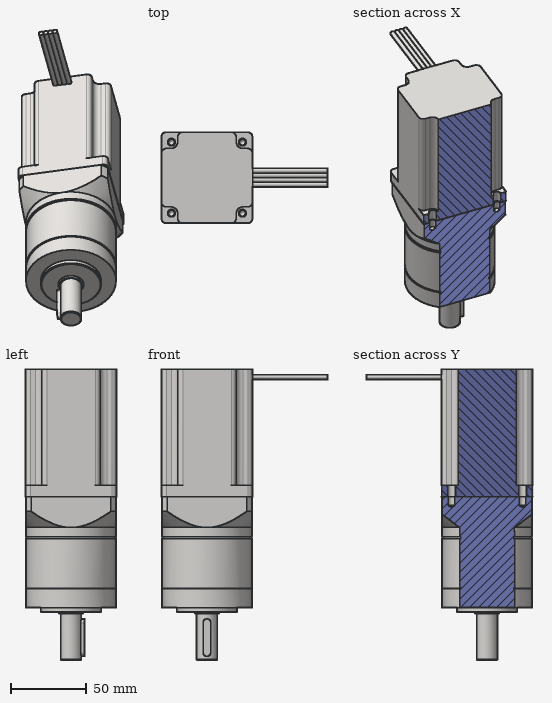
import cadquery as cq
import math


shaft_dia = 14.0
shaft_chamfer = 0.5
key_width = 5.0
key_length = 25.0
key_bottom = 2.5
key_reach = 9.0
key_height = 5.0

gear_width = 60.0
gear_bottom = 35.0
seal_bottom = 30.8
seal_dia = 17.0
seal_tip_dia = 15.0
pilot_bottom = 31.7
pilot_dia = 40.2
pilot_chamfer = 0.5
groove_depth = 0.4
lower_groove_bottom = 47.5
lower_groove_width = 0.5
upper_groove_bottom = 80.9
upper_groove_width = 1.2
head_cone_bottom = 88.2
head_cone_top = 98.9
head_corner_dia = 80.0

motor_width = 60.5
motor_bottom = 108.7
motor_top = 193.5
flange_thickness = 7.7
flange_corner_radius = 3.0
notch_size = 10.8
notch_inner_radius = 4.5
notch_outer_radius = 3.3

screw_pitch = 47.2
clearance_dia = 5.0
tapped_dia = 4.0
tapped_depth = 5.8
drill_point_angle = 118

lead_count = 4
lead_dia = 3.3
lead_pitch = 3.0
lead_length = 50.0
lead_axis_drop = 5.2

gear_radius = gear_width / 2
motor_half = motor_width / 2
flange_top = motor_bottom + flange_thickness
screw_offset = screw_pitch / 2
screw_places = [(sx * screw_offset, sy * screw_offset) for sx in (-1, 1) for sy in (-1, 1)]


def cylinder(diameter, bottom, top):
    return cq.Workplane("XY").workplane(offset=bottom).circle(diameter / 2).extrude(top - bottom)


def square_block(width, bottom, top):
    return cq.Workplane("XY").workplane(offset=bottom).rect(width, width).extrude(top - bottom)


def ring_groove(bottom, width):
    """Ring that cuts a shallow groove into the round housing."""
    outer = cylinder(gear_width + 2 * groove_depth, bottom, bottom + width)
    return outer.cut(cylinder(gear_width - 2 * groove_depth, bottom, bottom + width))


def make_head():
    """Square head with turned corners, tapering into the round housing."""
    corner_radius = head_corner_dia / 2
    turned = (
        cq.Workplane("XZ")
        .moveTo(0, head_cone_bottom)
        .lineTo(gear_radius, head_cone_bottom)
        .lineTo(corner_radius, head_cone_top)
        .lineTo(corner_radius, motor_bottom)
        .lineTo(0, motor_bottom)
        .close()
        .revolve(360, (0, 0, 0), (0, 1, 0))
    )
    return turned.intersect(square_block(gear_width, head_cone_bottom, motor_bottom))


def make_shaft():
    return cylinder(shaft_dia, 0, gear_bottom).faces("<Z").chamfer(shaft_chamfer)


def make_key():
    """Round-ended key on the -Y side of the shaft."""
    return (
        cq.Workplane("XZ", origin=(0, -key_reach, key_bottom + key_length / 2))
        .slot2D(key_length, key_width, 90)
        .extrude(-key_height)
    )


def make_seal():
    """Tapered collar where the shaft leaves the pilot."""
    return (
        cq.Workplane("XY")
        .workplane(offset=seal_bottom)
        .circle(seal_tip_dia / 2)
        .workplane(offset=pilot_bottom - seal_bottom)
        .circle(seal_dia / 2)
        .loft()
    )


def make_tapped_hole(x, y):
    """Blind screw hole with a drill point, entering from the motor face."""
    radius = tapped_dia / 2
    hole_bottom = motor_bottom - tapped_depth
    point_depth = radius / math.tan(math.radians(drill_point_angle / 2))
    return (
        cq.Workplane("XZ", origin=(x, y, 0))
        .moveTo(0, motor_bottom)
        .lineTo(radius, motor_bottom)
        .lineTo(radius, hole_bottom)
        .lineTo(0, hole_bottom - point_depth)
        .close()
        .revolve(360, (0, 0, 0), (0, 1, 0))
    )


def make_gearbox():
    pilot = cylinder(pilot_dia, pilot_bottom, gear_bottom).faces("<Z").chamfer(pilot_chamfer)
    body = cylinder(gear_width, gear_bottom, head_cone_bottom)
    body = body.cut(ring_groove(lower_groove_bottom, lower_groove_width))
    body = body.cut(ring_groove(upper_groove_bottom, upper_groove_width))
    body = body.union(make_head()).union(pilot).union(make_seal())
    body = body.union(make_shaft()).union(make_key())
    for x, y in screw_places:
        body = body.cut(make_tapped_hole(x, y))
    return body


def make_flange():
    flange = square_block(motor_width, motor_bottom, flange_top)
    flange = flange.edges("|Z").fillet(flange_corner_radius)
    holes = (
        cq.Workplane("XY")
        .workplane(offset=motor_bottom)
        .pushPoints(screw_places)
        .circle(clearance_dia / 2)
        .extrude(flange_thickness)
    )
    return flange.cut(holes)


def make_stator():
    """Upper motor block: a rounded cross whose corner notches clear the screws."""
    arm_width = motor_width - 2 * notch_size
    height = motor_top - flange_top
    base = cq.Workplane("XY").workplane(offset=flange_top)
    cross = base.rect(motor_width, arm_width).extrude(height)
    cross = cross.union(base.rect(arm_width, motor_width).extrude(height))
    reach = (motor_width - notch_size) / 2
    inner_edges = cq.selectors.BoxSelector((-reach, -reach, flange_top), (reach, reach, motor_top))
    outer_edges = cross.edges("|Z").edges(cq.selectors.InverseSelector(inner_edges))
    cross = outer_edges.fillet(notch_outer_radius)
    return cross.edges("|Z").edges(inner_edges).fillet(notch_inner_radius)


def make_lead(y):
    """Round lead along +X, rooted one lead diameter inside the motor."""
    return (
        cq.Workplane("YZ", origin=(motor_half - lead_dia, y, motor_top - lead_axis_drop))
        .circle(lead_dia / 2)
        .extrude(lead_dia + lead_length)
    )


def make_motor():
    motor = make_flange().union(make_stator())
    for i in range(lead_count):
        motor = motor.union(make_lead((i - (lead_count - 1) / 2) * lead_pitch))
    return motor


gearbox = make_gearbox()
motor = make_motor()

result = cq.Compound.makeCompound([gearbox.solids().val(), motor.solids().val()])